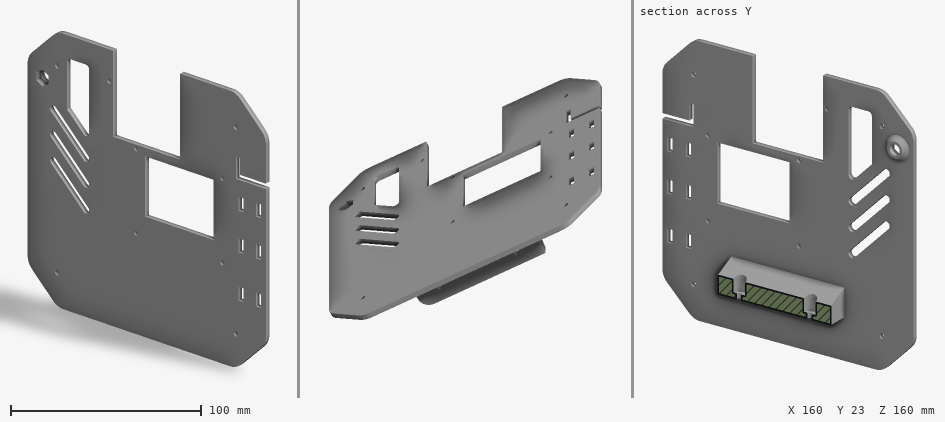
import cadquery as cq
import math

PLATE_SIZE = 160.0
PLATE_THICKNESS = 3.0
CORNER_CHAMFER = 20.0
CORNER_RADIUS = 10.0
HALF_SIZE = PLATE_SIZE / 2

NOTCH_WIDTH = 45.0
NOTCH_BOTTOM_Z = 30.0

L_SLOT_LEFT_X = 60.0
L_SLOT_LEG_WIDTH = 2.8
L_SLOT_TOP_Z = 43.0
L_SLOT_ARM_HEIGHT = 3.1
L_SLOT_BOTTOM_Z = NOTCH_BOTTOM_Z

WINDOW_WIDTH = 46.0
WINDOW_HEIGHT = 35.0
WINDOW_CENTER = (22.0, 7.5)
BOARD_HOLE_DIAMETER = 2.7
BOARD_HOLE_SPACING = (58.0, 49.0)
BOARD_HOLE_CENTER = (21.9, 3.0)

MOUNT_HOLE_DIAMETER = 3.0
MOUNT_HOLE_OFFSET = 60.0
NOTCH_HOLE_DIAMETER = 2.7
NOTCH_HOLE_POSITION = (-25.0, 61.4)

STRAP_SLOT_WIDTH = 3.4
STRAP_SLOT_HEIGHT = 8.0
STRAP_SLOT_COLUMNS = (63.3, 75.2)
STRAP_SLOT_ROWS = (16.1, -8.1, -36.1)

VENT_WIDTH = 4.5
VENT_RADIUS = VENT_WIDTH / 2
VENT_LEFT_X = -64.9
VENT_RIGHT_X = -38.6
VENT_PITCH = 15.0
VENT_COUNT = 3
VENT_ANGLE = -45.0
TOP_VENT_LOWEST_Z = 10.0
LARGE_VENT_LEFT_X = -53.6
LARGE_VENT_TOP_Z = 66.5
LARGE_VENT_RADIUS = 2.5

BOSS_POSITION = (-70.0, 50.0)
BOSS_BASE_DIAMETER = 15.0
BOSS_TOP_DIAMETER = 9.8
BOSS_HEIGHT = 2.9
BOSS_HOLE_DIAMETER = 6.5
HEXAGON_HALF_SECTOR = 30.0
NUT_ACROSS_FLATS = 8.3
NUT_POCKET_DEPTH = 3.0

SHELF_WIDTH = 72.0
SHELF_REACH = 20.0
SHELF_BOTTOM_Z = -55.0
SHELF_ROOT_HEIGHT = 17.0
SHELF_TIP_HEIGHT = 7.0
SHELF_CORNER_RADIUS = 6.5
SHELF_HOLE_SPACING = NOTCH_WIDTH
SHELF_HOLE_DIAMETER = 3.2
SHELF_HOLE_FROM_TIP = 7.5
COUNTERBORE_DIAMETER = 8.0
COUNTERBORE_FLOOR = 3.0


def front_plane(y=0.0):
    """XZ sketch plane at the given Y; positive extrusion goes toward +Y."""
    return cq.Workplane(cq.Plane(origin=(0, y, 0), xDir=(1, 0, 0), normal=(0, -1, 0)))


def through_plate(sketch):
    return sketch.extrude(-PLATE_THICKNESS)


def make_plate():
    plate = through_plate(front_plane().rect(PLATE_SIZE, PLATE_SIZE))
    plate = plate.edges("|Y").chamfer(CORNER_CHAMFER)
    return plate.edges("|Y").fillet(CORNER_RADIUS)


def notch():
    height = HALF_SIZE - NOTCH_BOTTOM_Z
    return through_plate(front_plane().center(0, NOTCH_BOTTOM_Z + height / 2).rect(NOTCH_WIDTH, height))


def l_slot():
    leg_right_x = L_SLOT_LEFT_X + L_SLOT_LEG_WIDTH
    arm_top_z = L_SLOT_BOTTOM_Z + L_SLOT_ARM_HEIGHT
    outline = front_plane().polyline([
        (L_SLOT_LEFT_X, L_SLOT_BOTTOM_Z),
        (HALF_SIZE, L_SLOT_BOTTOM_Z),
        (HALF_SIZE, arm_top_z),
        (leg_right_x, arm_top_z),
        (leg_right_x, L_SLOT_TOP_Z),
        (L_SLOT_LEFT_X, L_SLOT_TOP_Z),
    ]).close()
    return through_plate(outline)


def window():
    return through_plate(front_plane().center(*WINDOW_CENTER).rect(WINDOW_WIDTH, WINDOW_HEIGHT))


def board_holes():
    corners = front_plane().center(*BOARD_HOLE_CENTER).rect(*BOARD_HOLE_SPACING, forConstruction=True)
    return through_plate(corners.vertices().circle(BOARD_HOLE_DIAMETER / 2))


def mount_holes():
    spacing = 2 * MOUNT_HOLE_OFFSET
    corners = front_plane().rect(spacing, spacing, forConstruction=True)
    return through_plate(corners.vertices().circle(MOUNT_HOLE_DIAMETER / 2))


def notch_hole():
    return through_plate(front_plane().center(*NOTCH_HOLE_POSITION).circle(NOTCH_HOLE_DIAMETER / 2))


def strap_slots():
    centers = [(x, z) for x in STRAP_SLOT_COLUMNS for z in STRAP_SLOT_ROWS]
    return through_plate(front_plane().pushPoints(centers).rect(STRAP_SLOT_WIDTH, STRAP_SLOT_HEIGHT))


def diagonal_vents():
    run = VENT_RIGHT_X - VENT_LEFT_X - VENT_WIDTH
    length = run * math.sqrt(2) + VENT_WIDTH
    center_x = (VENT_LEFT_X + VENT_RIGHT_X) / 2
    top_center_z = TOP_VENT_LOWEST_Z + VENT_RADIUS + run / 2
    centers = [(center_x, top_center_z - i * VENT_PITCH) for i in range(VENT_COUNT)]
    return through_plate(front_plane().pushPoints(centers).slot2D(length, VENT_WIDTH, VENT_ANGLE))


def large_vent():
    end_x = VENT_RIGHT_X - VENT_RADIUS
    end_z = TOP_VENT_LOWEST_Z + VENT_PITCH + VENT_RADIUS
    diagonal = VENT_RADIUS / math.sqrt(2)
    tangent_x = end_x - diagonal
    tangent_z = end_z - diagonal
    arc_middle_angle = math.radians((VENT_ANGLE - 90) / 2)
    arc_middle = (
        end_x + VENT_RADIUS * math.cos(arc_middle_angle),
        end_z + VENT_RADIUS * math.sin(arc_middle_angle),
    )
    left_corner_z = tangent_z + (tangent_x - LARGE_VENT_LEFT_X)
    outline = (
        front_plane()
        .moveTo(LARGE_VENT_LEFT_X, LARGE_VENT_TOP_Z)
        .lineTo(LARGE_VENT_LEFT_X, left_corner_z)
        .lineTo(tangent_x, tangent_z)
        .threePointArc(arc_middle, (VENT_RIGHT_X, end_z))
        .lineTo(VENT_RIGHT_X, LARGE_VENT_TOP_Z)
        .close()
    )
    return through_plate(outline).faces(">Z").edges("|Y").fillet(LARGE_VENT_RADIUS)


def boss():
    return (
        front_plane(PLATE_THICKNESS)
        .center(*BOSS_POSITION)
        .circle(BOSS_BASE_DIAMETER / 2)
        .workplane(offset=-BOSS_HEIGHT)
        .circle(BOSS_TOP_DIAMETER / 2)
        .loft(ruled=True)
    )


def boss_hole():
    depth = PLATE_THICKNESS + BOSS_HEIGHT
    return front_plane().center(*BOSS_POSITION).circle(BOSS_HOLE_DIAMETER / 2).extrude(-depth)


def nut_pocket():
    across_corners = NUT_ACROSS_FLATS / math.cos(math.radians(HEXAGON_HALF_SECTOR))
    hexagon = cq.Workplane("XY").polygon(6, across_corners).extrude(NUT_POCKET_DEPTH)
    hexagon = hexagon.rotate((0, 0, 0), (0, 0, 1), HEXAGON_HALF_SECTOR).rotate((0, 0, 0), (1, 0, 0), -90)
    return hexagon.translate((BOSS_POSITION[0], 0, BOSS_POSITION[1]))


def shelf():
    tip_y = PLATE_THICKNESS + SHELF_REACH
    wedge = (
        cq.Workplane("YZ", origin=(-SHELF_WIDTH / 2, 0, 0))
        .polyline([
            (PLATE_THICKNESS, SHELF_BOTTOM_Z),
            (tip_y, SHELF_BOTTOM_Z),
            (tip_y, SHELF_BOTTOM_Z + SHELF_TIP_HEIGHT),
            (PLATE_THICKNESS, SHELF_BOTTOM_Z + SHELF_ROOT_HEIGHT),
        ])
        .close()
        .extrude(SHELF_WIDTH)
    )
    wedge = wedge.edges("|Z and >Y and <X").fillet(SHELF_CORNER_RADIUS)

    hole_y = tip_y - SHELF_HOLE_FROM_TIP
    centers = [(-SHELF_HOLE_SPACING / 2, hole_y), (SHELF_HOLE_SPACING / 2, hole_y)]
    base = cq.Workplane("XY", origin=(0, 0, SHELF_BOTTOM_Z)).pushPoints(centers)
    holes = base.circle(SHELF_HOLE_DIAMETER / 2).extrude(SHELF_ROOT_HEIGHT)
    floor = cq.Workplane("XY", origin=(0, 0, SHELF_BOTTOM_Z + COUNTERBORE_FLOOR)).pushPoints(centers)
    counterbores = floor.circle(COUNTERBORE_DIAMETER / 2).extrude(SHELF_ROOT_HEIGHT)
    return wedge.cut(holes).cut(counterbores)


plate_openings = [
    notch(),
    l_slot(),
    window(),
    board_holes(),
    mount_holes(),
    notch_hole(),
    strap_slots(),
    diagonal_vents(),
    large_vent(),
]

body = make_plate()
for opening in plate_openings:
    body = body.cut(opening)

body = body.union(boss()).cut(boss_hole()).cut(nut_pocket())
result = body.union(shelf())